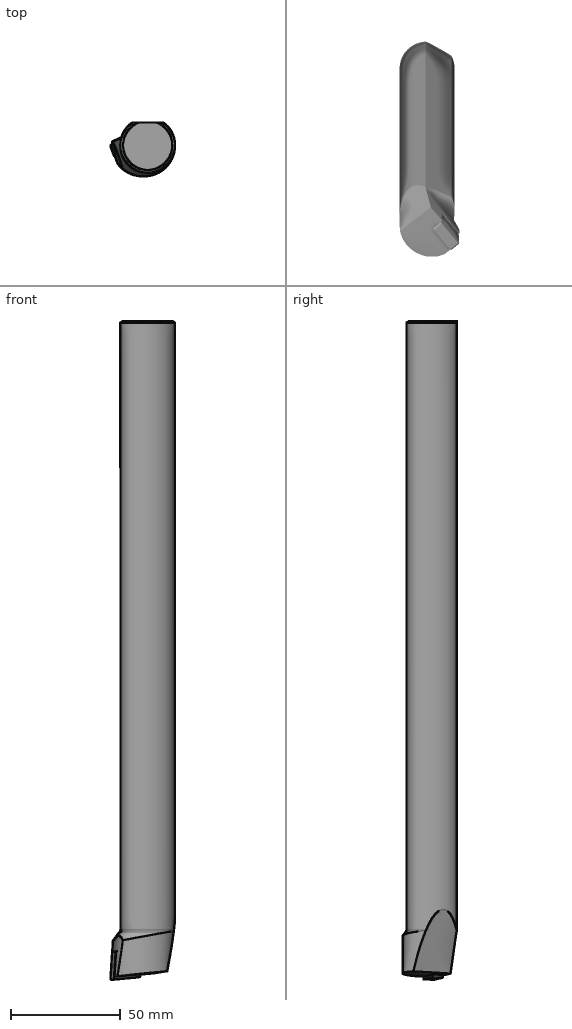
import cadquery as cq
import math


SHANK_TOP = 300.0
SHANK_RADIUS = 12.5
FLAT_Y = 10.5
END_CHAMFER_RADIAL = 1.3
END_CHAMFER_HEIGHT = 1.0

HEAD_TOP = 22.2
CONE_ANGLE = 37.0
NECK_FILLET = 1.5
HEAD_RADIUS = 14.5
HEAD_LOW_Y = -14.18
RELIEF_START = 32.0
RELIEF_TURN = 20.0
RELIEF_LEAN = 14.6

TIP_X = -17.0
TIP_Y = 0.0
TIP_Z = -0.02
RADIAL_RAKE = 20.0
AXIAL_RAKE = 3.2
LEAD_ANGLE = 5.0

INSERT_ANGLE = 80.0
INSERT_EDGE = 12.9
INSERT_THICKNESS = 4.76
NOSE_RADIUS = 0.8

SIDE_SETBACK = 0.3
END_SETBACK = 1.2
GULLET_STEP = 0.7
POCKET_CLEARANCE = 5.0
GULLET_RUNOUT_START = 20.0
GULLET_RUNOUT_RADIUS = 15.0

CUT_SIZE = 80.0


def direction(angle):
    """Unit vector in the rake plane, measured from its horizontal axis."""
    return math.cos(math.radians(angle)), math.sin(math.radians(angle))


def make_rake_plane():
    """Plane of the rake face, centred on the nose arc; local Z points into the body."""
    turn = math.radians(RADIAL_RAKE)
    lean = math.radians(AXIAL_RAKE)
    inward = cq.Vector(
        math.sin(turn) * math.cos(lean),
        -math.cos(turn) * math.cos(lean),
        math.sin(lean),
    )
    nose_centre = cq.Vector(
        TIP_X + NOSE_RADIUS * math.sqrt(1 - inward.x ** 2),
        TIP_Y,
        TIP_Z + NOSE_RADIUS * math.sqrt(1 - inward.z ** 2),
    )
    across = cq.Vector(math.cos(turn), math.sin(turn), 0)
    return cq.Plane(origin=nose_centre, xDir=across, normal=inward)


RAKE_PLANE = make_rake_plane()
END_DIRECTION = direction(LEAD_ANGLE)
SIDE_DIRECTION = direction(LEAD_ANGLE + INSERT_ANGLE)

corner_distance = NOSE_RADIUS / math.sin(math.radians(INSERT_ANGLE / 2))
bisector = direction(LEAD_ANGLE + INSERT_ANGLE / 2)
CORNER = (-corner_distance * bisector[0], -corner_distance * bisector[1])


def from_corner(along_end, along_side):
    """Point in the rake plane reached along the two insert edges."""
    return (
        CORNER[0] + along_end * END_DIRECTION[0] + along_side * SIDE_DIRECTION[0],
        CORNER[1] + along_end * END_DIRECTION[1] + along_side * SIDE_DIRECTION[1],
    )


def make_rhombus_prism(front, depth):
    """Insert outline, from a distance in front of the rake face to a depth behind it."""
    outline = [
        from_corner(0, 0),
        from_corner(INSERT_EDGE, 0),
        from_corner(INSERT_EDGE, INSERT_EDGE),
        from_corner(0, INSERT_EDGE),
    ]
    prism = cq.Workplane(RAKE_PLANE).workplane(offset=-front).polyline(outline).close().extrude(front + depth)
    return prism.edges(cq.selectors.ParallelDirSelector(RAKE_PLANE.zDir)).fillet(NOSE_RADIUS)


def make_shank():
    profile = [
        (0, HEAD_TOP),
        (SHANK_RADIUS, HEAD_TOP),
        (SHANK_RADIUS, SHANK_TOP - END_CHAMFER_HEIGHT),
        (SHANK_RADIUS - END_CHAMFER_RADIAL, SHANK_TOP),
        (0, SHANK_TOP),
    ]
    return cq.Workplane("XZ").polyline(profile).close().revolve()


def make_head():
    """Wider offset cylinder whose top is a cone around the shank axis, filleted into the shank."""
    cone = math.radians(CONE_ANGLE)
    tangent_length = NECK_FILLET * math.tan(cone / 2)
    neck_top = HEAD_TOP + tangent_length
    centre_y = HEAD_LOW_Y + HEAD_RADIUS
    centre_x = -math.sqrt((HEAD_RADIUS - SHANK_RADIUS) ** 2 - centre_y ** 2)
    cylinder = (
        cq.Workplane("XY", origin=(centre_x, centre_y, TIP_Z))
        .circle(HEAD_RADIUS)
        .extrude(neck_top - TIP_Z)
    )
    fillet_end = (
        SHANK_RADIUS + tangent_length * math.sin(cone),
        HEAD_TOP - tangent_length * math.cos(cone),
    )
    cone_solid = (
        cq.Workplane("XZ")
        .moveTo(0, neck_top)
        .lineTo(SHANK_RADIUS, neck_top)
        .radiusArc(fillet_end, -NECK_FILLET)
        .lineTo(SHANK_RADIUS + (HEAD_TOP - TIP_Z) * math.tan(cone), TIP_Z)
        .lineTo(0, TIP_Z)
        .close()
        .revolve()
    )
    return cylinder.intersect(cone_solid)


def make_back_relief():
    """Material outside a leaning plane on the back of the head, facing +X and a little +Y."""
    turn = math.radians(RELIEF_TURN)
    lean = math.radians(RELIEF_LEAN)
    outward = cq.Vector(math.cos(turn), math.sin(turn), 0)
    plane = cq.Plane(
        origin=outward * SHANK_RADIUS + cq.Vector(0, 0, RELIEF_START),
        xDir=(-math.sin(turn), math.cos(turn), 0),
        normal=outward * math.cos(lean) - cq.Vector(0, 0, math.sin(lean)),
    )
    return cq.Workplane(plane).rect(CUT_SIZE, CUT_SIZE).extrude(CUT_SIZE / 2)


def make_gullet():
    """Space in front of a floor parallel to the rake face, ending upwards in a round run-out."""
    plane = cq.Plane(
        origin=RAKE_PLANE.origin - RAKE_PLANE.xDir * (CUT_SIZE / 2),
        xDir=RAKE_PLANE.zDir * -1,
        normal=RAKE_PLANE.xDir,
    )
    runout_end = (
        GULLET_STEP + GULLET_RUNOUT_RADIUS,
        GULLET_RUNOUT_START + GULLET_RUNOUT_RADIUS,
    )
    return (
        cq.Workplane(plane)
        .moveTo(GULLET_STEP, -CUT_SIZE)
        .lineTo(GULLET_STEP, GULLET_RUNOUT_START)
        .tangentArcPoint(runout_end, relative=False)
        .lineTo(CUT_SIZE, runout_end[1])
        .lineTo(CUT_SIZE, -CUT_SIZE)
        .close()
        .extrude(2 * CUT_SIZE)
    )


def make_keep_wedge():
    """Region behind the side and end faces of the head, parallel to the insert flanks."""
    skew = math.sin(math.radians(INSERT_ANGLE))
    end_shift = SIDE_SETBACK / skew
    side_shift = END_SETBACK / skew
    outline = [
        from_corner(end_shift, side_shift),
        from_corner(CUT_SIZE, side_shift),
        from_corner(CUT_SIZE, CUT_SIZE),
        from_corner(end_shift, CUT_SIZE),
    ]
    front = cq.Workplane(RAKE_PLANE).workplane(offset=-CUT_SIZE / 2)
    return front.polyline(outline).close().extrude(CUT_SIZE)


def make_bar():
    head = make_head().intersect(make_keep_wedge())
    flat = (
        cq.Workplane("XY", origin=(0, FLAT_Y, TIP_Z))
        .box(CUT_SIZE, CUT_SIZE, 2 * SHANK_TOP, centered=(True, False, False))
    )
    insert_pocket = make_rhombus_prism(POCKET_CLEARANCE, INSERT_THICKNESS)
    bar = make_shank().union(head)
    return bar.cut(flat).cut(make_back_relief()).cut(make_gullet()).cut(insert_pocket)


insert = make_rhombus_prism(0, INSERT_THICKNESS)
bar = make_bar()

result = cq.Compound.makeCompound([bar.val(), insert.val()])